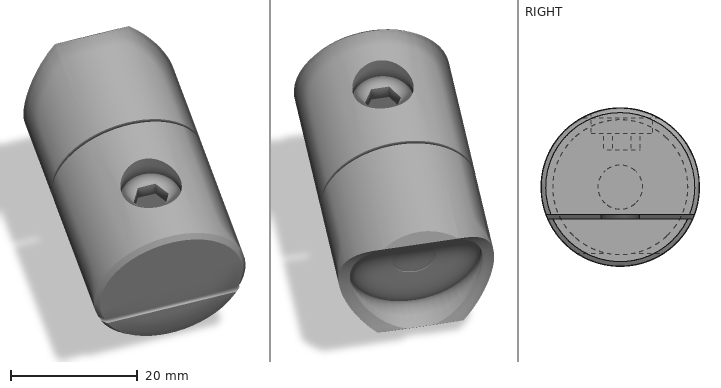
import cadquery as cq
import math

length = 43.5
body_diameter = 25.0
body_radius = body_diameter / 2
end_chamfer = 0.75

tube_radius = 16.85
saddle_bottom_x = 4.0
tube_axis_x = saddle_bottom_x - tube_radius
upper_tip_z = 10.9
lower_tip_z = 10.45
tip_slope = 1.3

socket_diameter = 21.3
socket_floor_x = 6.0
center_mark_diameter = 7.0
center_mark_depth = 0.1

shelf_start_x = 19.15
shelf_z = -5.05
block_start_x = 19.65
block_end_x = 43.18
block_bottom_z = -4.35

screw_x = 31.55
screw_y = 0.2
screw_bore_diameter = 9.7
screw_head_z = 8.5
hex_across_flats = 5.0
hex_depth = 2.6
pin_x = 29.45
pin_diameter = 6.0
pin_overlap = 0.45


def round_bar(start_x, end_x):
    """Bar along X with a chamfer on its +X end."""
    bar = cq.Workplane("YZ", origin=(start_x, 0, 0)).circle(body_radius).extrude(end_x - start_x)
    return bar.faces(">X").chamfer(end_chamfer)


def full_width_box(bottom_z, top_z, start_x):
    """Box as wide as the body, from start_x to the +X end of the body."""
    size = (length - start_x, body_diameter, top_z - bottom_z)
    return cq.Workplane("XY").box(*size, centered=(False, True, False)).translate((start_x, 0, bottom_z))


def x_cylinder(diameter, end_x):
    """Cylinder along X, from the saddle end to end_x."""
    return cq.Workplane("YZ").circle(diameter / 2).extrude(end_x)


def tip_cutter(tip_z, side):
    """Wedge that cuts the sloping flat outward from a saddle tip; side is +1 above, -1 below."""
    tip_x = tube_axis_x + math.sqrt(tube_radius**2 - tip_z**2)
    outer_x = tip_x + (body_radius - tip_z) / tip_slope
    corners = [
        (tip_x, side * tip_z),
        (outer_x, side * body_radius),
        (tube_axis_x, side * body_radius),
        (tube_axis_x, side * tip_z),
    ]
    return cq.Workplane("XZ").polyline(corners).close().extrude(body_radius, both=True)


def make_base():
    base = round_bar(0, length).cut(full_width_box(shelf_z, body_radius, shelf_start_x))
    tube = cq.Workplane("XZ").center(tube_axis_x, 0).circle(tube_radius).extrude(body_radius, both=True)
    base = base.cut(tube)
    base = base.cut(tip_cutter(upper_tip_z, 1)).cut(tip_cutter(lower_tip_z, -1))
    base = base.cut(x_cylinder(socket_diameter, socket_floor_x))
    return base.cut(x_cylinder(center_mark_diameter, socket_floor_x + center_mark_depth))


def make_block():
    block = round_bar(block_start_x, block_end_x)
    block = block.intersect(full_width_box(block_bottom_z, body_radius, block_start_x))
    head = cq.Workplane("XY", origin=(screw_x, screw_y, screw_head_z))
    bore = head.circle(screw_bore_diameter / 2).extrude(body_radius - screw_head_z)
    hex_across_corners = hex_across_flats / math.cos(math.pi / 6)
    drive = head.transformed(rotate=(0, 0, 90)).polygon(6, hex_across_corners).extrude(-hex_depth)
    return block.cut(bore).cut(drive)


def make_pin():
    pin_bottom_z = shelf_z - pin_overlap
    pin_length = block_bottom_z + pin_overlap - pin_bottom_z
    return cq.Workplane("XY", origin=(pin_x, 0, pin_bottom_z)).circle(pin_diameter / 2).extrude(pin_length)


result = make_base().union(make_pin()).union(make_block())